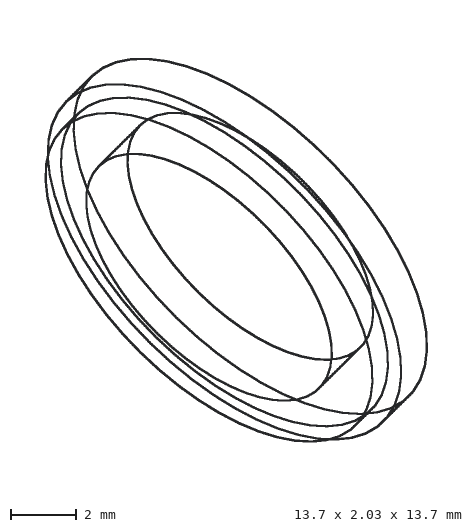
import cadquery as cq

flange_diameter = 13.716
shoulder_diameter = 12.69
bore_diameter = 9.525
total_thickness = 2.032
flange_thickness = 1.27

back_y = total_thickness / 2
front_y = -total_thickness / 2
step_y = back_y - flange_thickness


def stepped_ring():
    """Revolve the stepped half section, drawn in the YZ plane, around the Y axis."""
    bore_radius = bore_diameter / 2
    shoulder_radius = shoulder_diameter / 2
    flange_radius = flange_diameter / 2
    section = (
        cq.Workplane("YZ")
        .moveTo(front_y, bore_radius)
        .lineTo(front_y, shoulder_radius)
        .lineTo(step_y, shoulder_radius)
        .lineTo(step_y, flange_radius)
        .lineTo(back_y, flange_radius)
        .lineTo(back_y, bore_radius)
        .close()
    )
    axis_start = (0, 0)
    axis_end = (1, 0)
    return section.revolve(360, axis_start, axis_end)


result = stepped_ring()